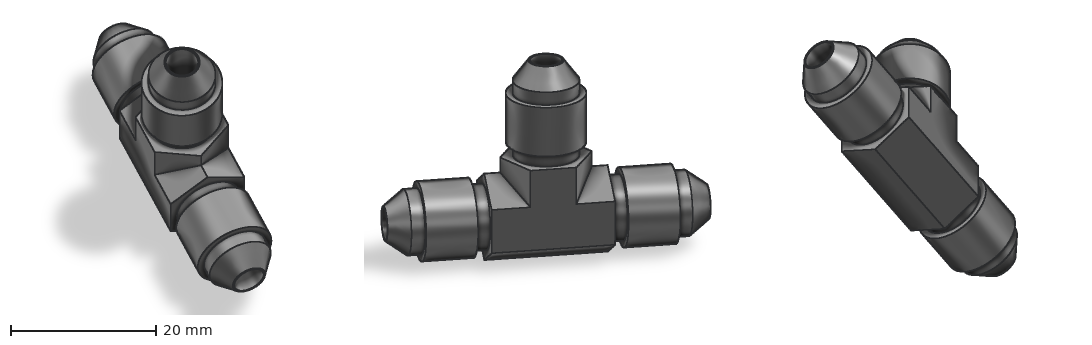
import cadquery as cq
import math

reach = 22.6
hex_flats = 11.1
body_reach = 8.65
neck_end = 10.55
collar_end = 17.75
cone_start = 19.65
neck_radius = 4.6
collar_radius = hex_flats / 2
tip_radius = 2.45
bore_radius = 2.2

hex_corners = hex_flats / math.cos(math.radians(30))

left = cq.Vector(-1, 0, 0)
right = cq.Vector(1, 0, 0)
up = cq.Vector(0, 0, 1)
center = cq.Vector(0, 0, 0)


def arm_plane(direction):
    """Plane at the fitting centre, facing along the arm, with local Y across two flats."""
    across_corners = up if direction.x else right
    return cq.Plane(origin=center, xDir=across_corners, normal=direction)


def hex_bar(direction):
    return cq.Workplane(arm_plane(direction)).polygon(6, hex_corners).extrude(body_reach)


def round_arm(direction):
    """Neck, collar and coned nose, revolved about the arm axis."""
    profile = (
        cq.Workplane("XZ")
        .moveTo(0, 0)
        .lineTo(neck_radius, 0)
        .lineTo(neck_radius, neck_end)
        .lineTo(collar_radius, neck_end)
        .lineTo(collar_radius, collar_end)
        .lineTo(neck_radius, collar_end)
        .lineTo(neck_radius, cone_start)
        .lineTo(tip_radius, reach)
        .lineTo(0, reach)
        .close()
    )
    arm = profile.revolve(360, (0, 0, 0), (0, 1, 0))
    return cq.Workplane(arm.val().moved(cq.Location(arm_plane(direction))))


def bore(direction):
    return cq.Workplane(arm_plane(direction)).circle(bore_radius).extrude(reach)


result = hex_bar(left).union(hex_bar(right)).union(hex_bar(up))
for direction in (left, right, up):
    result = result.union(round_arm(direction))

for direction in (left, right, up):
    result = result.cut(bore(direction))

result = result.clean()